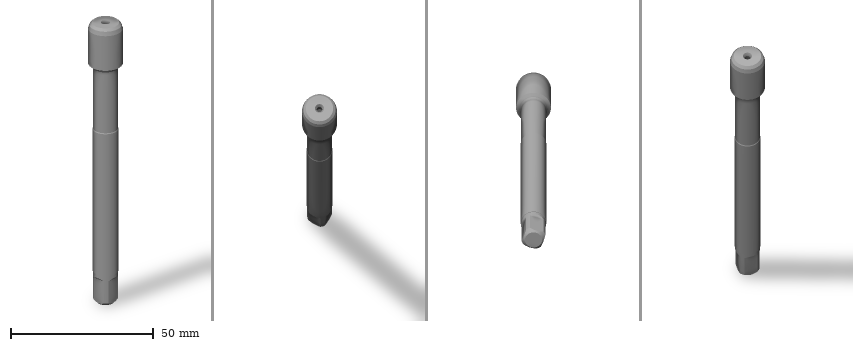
import cadquery as cq
import math

total_length = 110.0

head_radius = 12.2 / 2
top_face_radius = 9.6 / 2
upper_bevel_radius = 11.3 / 2
upper_bevel_base_z = total_length - 0.9
lower_bevel_base_z = total_length - 2.4
head_base_z = 93.9
underside_base_z = 93.2
underside_radius = 9.7 / 2
neck_top_z = 92.4

shank_radius = 9.0 / 2
neck_radius = 8.7 / 2
neck_base_z = 68.4
neck_taper_length = 0.3

end_radius = neck_radius
end_top_z = 12.2
end_chamfer = 1.3
square_side = 7.2
square_side_count = 4
flat_top_z = 10.0

center_hole_radius = 2.0 / 2
countersink_radius = 3.2 / 2
center_hole_depth = 3.3
countersink_half_angle = 30
drill_tip_half_angle = 60


def turned_body():
    """Revolve the stepped half profile about Z."""
    profile = [
        (0, 0),
        (end_radius - end_chamfer, 0),
        (end_radius, end_chamfer),
        (end_radius, end_top_z),
        (shank_radius, end_top_z),
        (shank_radius, neck_base_z - neck_taper_length),
        (neck_radius, neck_base_z),
        (neck_radius, neck_top_z),
        (underside_radius, underside_base_z),
        (head_radius, head_base_z),
        (head_radius, lower_bevel_base_z),
        (upper_bevel_radius, upper_bevel_base_z),
        (top_face_radius, total_length),
        (0, total_length),
    ]
    return cq.Workplane("XZ").polyline(profile).close().revolve(360, (0, 0), (0, 1))


def flat_cutter():
    """Cut for the flat facing -Y, ending in a 45 degree run-out."""
    flat_distance = square_side / 2
    cut_depth = shank_radius - flat_distance
    section = [
        (-flat_distance, 0),
        (-flat_distance, flat_top_z),
        (-flat_distance - cut_depth, flat_top_z + cut_depth),
        (-flat_distance - cut_depth, 0),
    ]
    return cq.Workplane("YZ").polyline(section).close().extrude(shank_radius, both=True)


def center_hole():
    """Countersunk blind hole with a conical drill tip."""
    countersink_width = countersink_radius - center_hole_radius
    countersink_depth = countersink_width / math.tan(math.radians(countersink_half_angle))
    tip_depth = center_hole_radius / math.tan(math.radians(drill_tip_half_angle))
    hole_base_z = total_length - center_hole_depth
    profile = [
        (0, total_length),
        (countersink_radius, total_length),
        (center_hole_radius, total_length - countersink_depth),
        (center_hole_radius, hole_base_z),
        (0, hole_base_z - tip_depth),
    ]
    return cq.Workplane("XZ").polyline(profile).close().revolve(360, (0, 0), (0, 1))


result = turned_body().cut(center_hole())
for side in range(square_side_count):
    result = result.cut(flat_cutter().rotate((0, 0, 0), (0, 0, 1), side * 360 / square_side_count))